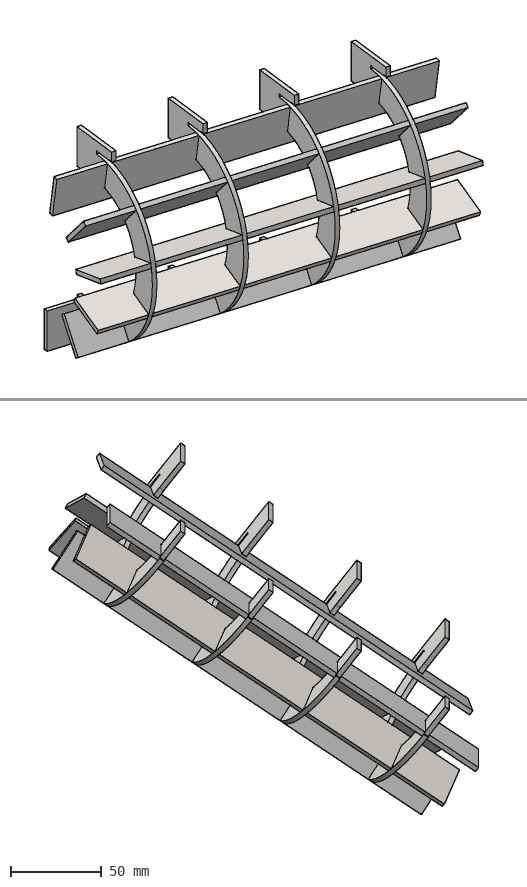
import cadquery as cq
import math

outer_radius = 56.8
inner_radius = 40.0
rib_thickness = 3.0
rib_count = 4
rib_pitch = 60.0
rib_row_middle_y = -0.8
first_rib_y = rib_row_middle_y - (rib_count - 1) / 2 * rib_pitch
rib_positions = [first_rib_y + i * rib_pitch for i in range(rib_count)]

back_x = -19.9
hook_top_z = 65.0
hook_tip_x = 15.3
hook_arm_height = 6.3
foot_top_z = -40.7
foot_height = 15

slat_length = 251.5
slat_width = 25.5
slat_thickness = 3.0
slat_count = 6
first_slat_angle = -90
slat_angle_step = 34

slot_bottom_radius = math.sqrt(inner_radius**2 - (slat_thickness / 2) ** 2)
slot_depth = outer_radius - slot_bottom_radius


def rib_profile():
    """Outline of a rib: half ring with a hooked block on top and a short foot below."""
    foot_bottom_z = foot_top_z - foot_height
    hook_arm_z = hook_top_z - hook_arm_height
    return (
        cq.Workplane("XZ")
        .moveTo(0, -outer_radius)
        .threePointArc((outer_radius, 0), (0, outer_radius))
        .lineTo(0, hook_arm_z)
        .lineTo(hook_tip_x, hook_arm_z)
        .lineTo(hook_tip_x, hook_top_z)
        .lineTo(back_x, hook_top_z)
        .lineTo(back_x, inner_radius)
        .lineTo(0, inner_radius)
        .threePointArc((inner_radius, 0), (0, -inner_radius))
        .lineTo(0, foot_top_z)
        .lineTo(back_x, foot_top_z)
        .lineTo(back_x, foot_bottom_z)
        .lineTo(0, foot_bottom_z)
        .close()
    )


def make_rib(rib_y):
    """One rib, its thickness centred on rib_y."""
    rib = rib_profile().extrude(rib_thickness / 2, both=True)
    return rib.translate((0, rib_y, 0))


def make_slat(angle):
    """One slat, slotted at every rib from its outer edge in to the inner edge of the ring."""
    slat = (
        cq.Workplane("XY")
        .box(slat_width, slat_length, slat_thickness)
        .translate((outer_radius - slat_width / 2, 0, 0))
    )
    for rib_y in rib_positions:
        slot = (
            cq.Workplane("XY")
            .box(slot_depth, rib_thickness, slat_thickness)
            .translate((outer_radius - slot_depth / 2, rib_y, 0))
        )
        slat = slat.cut(slot)
    return slat.rotate((0, 0, 0), (0, 1, 0), -angle)


ribs = [make_rib(rib_y) for rib_y in rib_positions]
slats = [make_slat(first_slat_angle + i * slat_angle_step) for i in range(slat_count)]

result = cq.Compound.makeCompound([body.val() for body in ribs + slats])